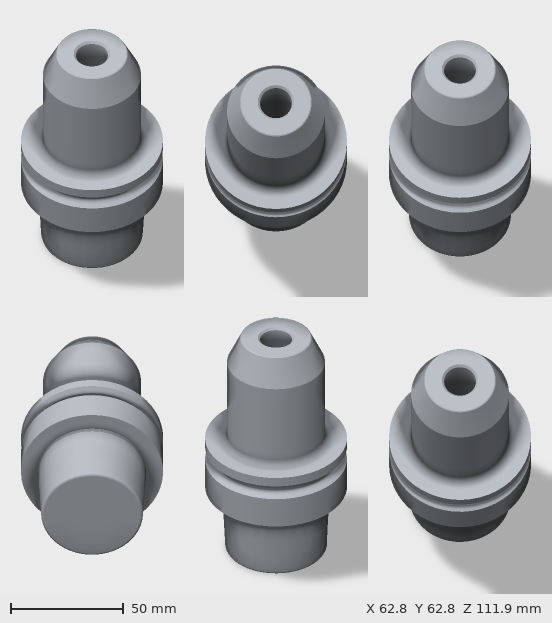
import cadquery as cq
import math

total_height = 111.9

shank_bottom_radius = 22.5
shank_top_radius = 24.0
shank_top_z = 30.0
shank_edge_fillet = 1.3

relief_radius = 23.6
relief_bottom_z = 30.7
relief_top_z = 31.4

flange_radius = 31.4
flange_bottom_z = 31.9
flange_top_z = 58.0

groove_center_z = 50.0
groove_mouth_width = 6.8
groove_flare_height = 1.6
groove_flare_angle = 30.0
groove_radius = 27.4
groove_root_fillet = 0.5

body_radius = 21.7
body_fillet = 3.0
nose_start_z = 98.9
nose_tip_radius = 15.7
nose_edge_chamfer = 0.3

bore_radius = 7.0
bore_depth = 47.0
bore_chamfer = 1.0


def revolve_about_z(outline):
    """Turn a closed (radius, z) outline about the Z axis."""
    return outline.close().revolve(360, (0, 0), (0, 1))


def make_holder():
    """Solid shank, flange and nose, with the large fillet at the foot of the body."""
    holder = revolve_about_z(
        cq.Workplane("XZ")
        .lineTo(shank_bottom_radius, 0)
        .lineTo(shank_top_radius, shank_top_z)
        .lineTo(relief_radius, relief_bottom_z)
        .lineTo(relief_radius, relief_top_z)
        .lineTo(shank_top_radius, flange_bottom_z)
        .lineTo(flange_radius, flange_bottom_z)
        .lineTo(flange_radius, flange_top_z)
        .lineTo(body_radius + body_fillet, flange_top_z)
        .radiusArc((body_radius, flange_top_z + body_fillet), body_fillet)
        .lineTo(body_radius, nose_start_z)
        .lineTo(nose_tip_radius, total_height)
        .lineTo(0, total_height)
    )
    holder = holder.faces("<Z").edges().fillet(shank_edge_fillet)
    return holder.faces(">Z").edges().chamfer(nose_edge_chamfer)


def make_groove():
    """Ring of material removed from the flange."""
    mouth_half_width = groove_mouth_width / 2
    channel_half_width = mouth_half_width - groove_flare_height
    floor_half_width = channel_half_width - groove_root_fillet
    flare_depth = groove_flare_height / math.tan(math.radians(groove_flare_angle))
    flare_root_radius = flange_radius - flare_depth
    corner_radius = groove_radius + groove_root_fillet
    return revolve_about_z(
        cq.Workplane("XZ")
        .moveTo(flange_radius, groove_center_z - mouth_half_width)
        .lineTo(flare_root_radius, groove_center_z - channel_half_width)
        .lineTo(corner_radius, groove_center_z - channel_half_width)
        .radiusArc((groove_radius, groove_center_z - floor_half_width), groove_root_fillet)
        .lineTo(groove_radius, groove_center_z + floor_half_width)
        .radiusArc((corner_radius, groove_center_z + channel_half_width), groove_root_fillet)
        .lineTo(flare_root_radius, groove_center_z + channel_half_width)
        .lineTo(flange_radius, groove_center_z + mouth_half_width)
    )


def make_bore():
    """Blind bore with a chamfered mouth."""
    bore_floor_z = total_height - bore_depth
    return revolve_about_z(
        cq.Workplane("XZ")
        .moveTo(0, bore_floor_z)
        .lineTo(bore_radius, bore_floor_z)
        .lineTo(bore_radius, total_height - bore_chamfer)
        .lineTo(bore_radius + bore_chamfer, total_height)
        .lineTo(0, total_height)
    )


result = make_holder().cut(make_groove()).cut(make_bore())